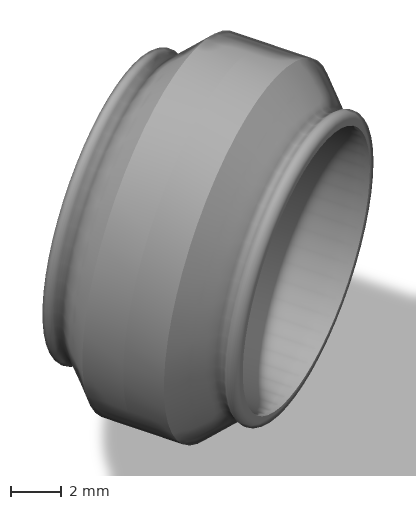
import cadquery as cq
import math

length = 8.5
outer_radius = 8.0
bore_radius = 6.0
band_length = 3.52
bead_radius = 0.3
end_face_radius = 6.27
groove_radius = 0.3

half_length = length / 2
half_band = band_length / 2
diagonal = math.sqrt(0.5)

bead_center_x = half_length - bead_radius
bead_flank_x = bead_center_x - bead_radius * diagonal
bead_flank_r = end_face_radius + bead_radius * diagonal

cone_sum = half_band + outer_radius
flank_difference = bead_flank_r - bead_flank_x
groove_x = (cone_sum - flank_difference) / 2
groove_center_r = (cone_sum + flank_difference) / 2 + groove_radius / diagonal
groove_offset = groove_radius * diagonal
groove_edge_r = groove_center_r - groove_offset

result = (
    cq.Workplane("XY")
    .moveTo(0, bore_radius)
    .lineTo(half_length, bore_radius)
    .lineTo(half_length, end_face_radius)
    .threePointArc(
        (bead_center_x + bead_radius * diagonal, end_face_radius + bead_radius * diagonal),
        (bead_center_x, end_face_radius + bead_radius),
    )
    .tangentArcPoint((bead_flank_x, bead_flank_r), relative=False)
    .lineTo(groove_x + groove_offset, groove_edge_r)
    .threePointArc(
        (groove_x, groove_center_r - groove_radius),
        (groove_x - groove_offset, groove_edge_r),
    )
    .lineTo(half_band, outer_radius)
    .lineTo(0, outer_radius)
    .mirrorY()
    .revolve(360, (0, 0, 0), (1, 0, 0))
)